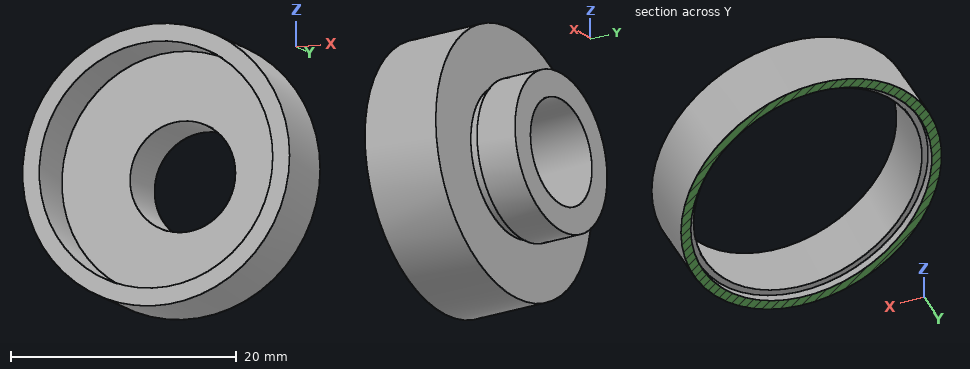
import cadquery as cq

total_length = 12.5
cup_diameter = 25.4
cup_length = 7.5

neck_diameter = 14.0
neck_length = 1.0
head_diameter = 15.0

recess_diameter = 22.2
recess_depth = 6.5
undercut_diameter = 23.4
undercut_width = 1.0
bore_diameter = 10.0

front_y = -total_length / 2
cup_back_y = front_y + cup_length
neck_back_y = cup_back_y + neck_length
undercut_y = front_y + recess_depth - undercut_width
head_length = total_length - cup_length - neck_length


def disc(diameter, start_y, length):
    """Cylinder about the Y axis, running from start_y toward +Y."""
    plane = cq.Workplane(cq.Plane(origin=(0, start_y, 0), xDir=(1, 0, 0), normal=(0, 1, 0)))
    return plane.circle(diameter / 2).extrude(length)


body = disc(cup_diameter, front_y, cup_length)
body = body.union(disc(neck_diameter, cup_back_y, neck_length))
body = body.union(disc(head_diameter, neck_back_y, head_length))

body = body.cut(disc(recess_diameter, front_y, recess_depth))
body = body.cut(disc(undercut_diameter, undercut_y, undercut_width))
result = body.cut(disc(bore_diameter, front_y, total_length))